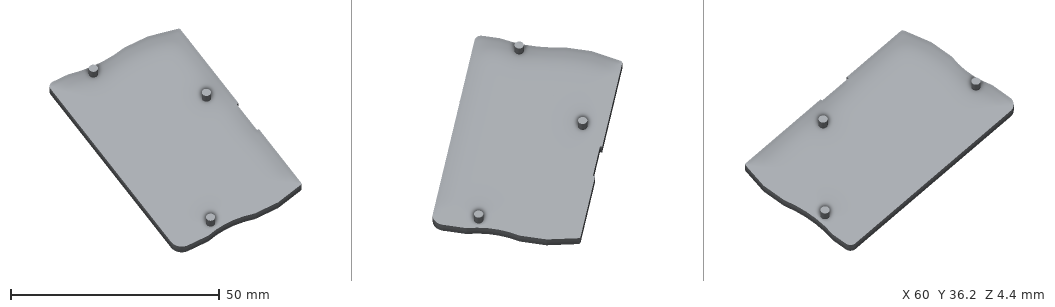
import cadquery as cq

length = 60.0
width = 36.2
total_height = 4.4
plate_thickness = total_height / 2
half_length = length / 2
half_width = width / 2

shoulder_inset = 1.85
shoulder_depth = 7.85
shoulder_radius = 0.6

waist_depth = 0.95
waist_start = 14.45
left_waist_end = 30.3
right_waist_end = 27.5

front_left_radius = 1.6
front_right_radius = 3.0

notch_left = -1.0
notch_width = 9.35
notch_depth = 0.55

pin_diameter = 2.2
side_pin_inset = 3.05
side_pin_distance = 25.0
back_pin_x = -6.4
back_pin_distance = 5.75


def make_plate():
    shoulder_x = half_length - shoulder_inset
    shoulder_y = half_width - shoulder_depth
    waist_x = half_length - waist_depth
    waist_start_y = half_width - waist_start
    left_waist_end_y = half_width - left_waist_end
    right_waist_end_y = half_width - right_waist_end
    left_waist_middle_y = (waist_start_y + left_waist_end_y) / 2
    right_waist_middle_y = (waist_start_y + right_waist_end_y) / 2
    plate = (
        cq.Workplane("XY")
        .moveTo(-shoulder_x, half_width)
        .lineTo(-half_length, shoulder_y)
        .lineTo(-half_length, waist_start_y)
        .threePointArc((-waist_x, left_waist_middle_y), (-half_length, left_waist_end_y))
        .lineTo(-half_length, -half_width)
        .lineTo(half_length, -half_width)
        .lineTo(half_length, right_waist_end_y)
        .threePointArc((waist_x, right_waist_middle_y), (half_length, waist_start_y))
        .lineTo(half_length, shoulder_y)
        .lineTo(shoulder_x, half_width)
        .close()
        .extrude(plate_thickness)
    )
    plate = plate.edges("|Z and >Y").fillet(shoulder_radius)
    plate = plate.edges("|Z and <Y").edges("<X").fillet(front_left_radius)
    return plate.edges("|Z and >X").edges("<Y").fillet(front_right_radius)


def make_notch():
    return cq.Workplane("XY").box(
        notch_width, notch_depth, plate_thickness, centered=False
    ).translate((notch_left, half_width - notch_depth, 0))


def make_pins():
    side_pin_x = half_length - side_pin_inset
    side_pin_y = half_width - side_pin_distance
    pin_centers = [
        (-side_pin_x, side_pin_y),
        (side_pin_x, side_pin_y),
        (back_pin_x, half_width - back_pin_distance),
    ]
    return cq.Workplane("XY").pushPoints(pin_centers).circle(pin_diameter / 2).extrude(total_height)


result = make_plate().cut(make_notch()).union(make_pins())